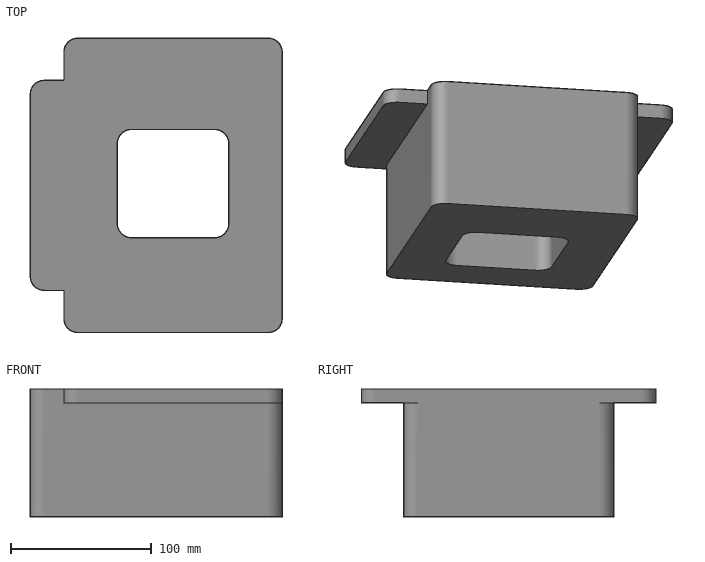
import cadquery as cq

block_length = 179.3
block_width = 149.5
height = 91.0
flange_length = 155.5
flange_width = 209.5
flange_thickness = 10.0
corner_radius = 10.0
opening_length = 79.2
opening_width = 76.9
opening_offset_y = 1.3

flange_center_x = (block_length - flange_length) / 2


def rounded_prism(length, width, bottom, top, center):
    """Upright box with rounded vertical edges, between two heights."""
    return (
        cq.Workplane("XY", origin=(*center, bottom))
        .rect(length, width)
        .extrude(top - bottom)
        .edges("|Z")
        .fillet(corner_radius)
    )


block = rounded_prism(block_length, block_width, 0, height, (0, 0))

flange = rounded_prism(
    flange_length, flange_width, height - flange_thickness, height, (flange_center_x, 0)
)

opening = rounded_prism(
    opening_length, opening_width, 0, height, (flange_center_x, opening_offset_y)
)

result = block.union(flange).cut(opening)